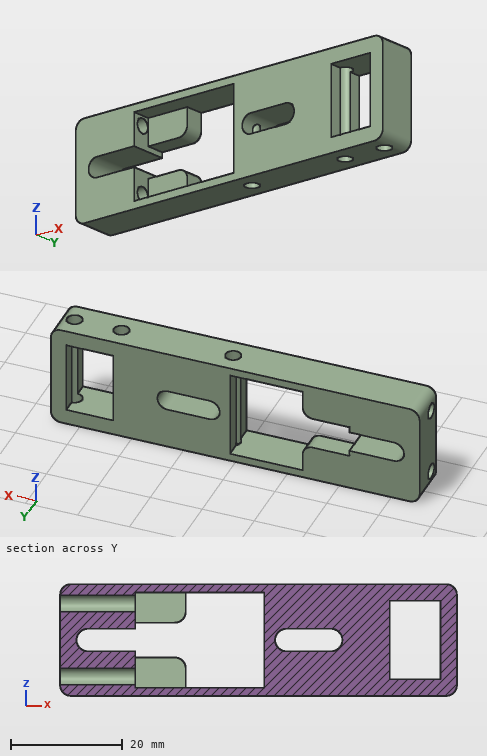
import cadquery as cq

length = 71.0
depth = 8.0
height = 20.0
corner_radius = 2.0
end_wall = 3.0

window_left = 13.5
window_width = 23.0
window_height = 17.0
window_right = window_left + window_width

tab_length = 9.0
tab_gap = 6.2
tab_radius = 2.0
tab_front = depth / 2
tab_height = (window_height - tab_gap) / 2

slot_width = 4.0
center_slot_left = 38.5
center_slot_length = 12.0

small_window_width = 9.0
small_window_height = 14.0
small_window_right = length - end_wall
small_window_left = small_window_right - small_window_width

hole_diameter = 2.9
window_hole_offset = 1.0
end_hole_y = 2.4
end_hole_z = 6.5


def box(left, right, front, back, box_height, center_z=0):
    """Box between X and Y limits, centred at the given height."""
    return cq.Workplane("XY").box(
        right - left, back - front, box_height, centered=(False, False, True)
    ).translate((left, front, center_z))


def slot(left, slot_length):
    """Round-ended slot through the full depth."""
    return (
        cq.Workplane("XZ", origin=(left + slot_length / 2, depth, 0))
        .slot2D(slot_length, slot_width)
        .extrude(depth)
    )


def tab(side):
    """Tab against the upper (+1) or lower (-1) wall, rounded at its free corner."""
    center_z = side * (tab_gap + tab_height) / 2
    free_corner = ">X and <Z" if side > 0 else ">X and >Z"
    block = box(window_left, window_left + tab_length, tab_front, depth, tab_height, center_z)
    return block.edges("|Y").edges(free_corner).fillet(tab_radius)


def vertical_hole(x):
    """Hole through the full height, at mid depth."""
    return (
        cq.Workplane("XY", origin=(x, depth / 2, -height / 2))
        .circle(hole_diameter / 2)
        .extrude(height)
    )


def end_hole(z):
    """Hole from the left end into the large window."""
    return (
        cq.Workplane("YZ", origin=(0, end_hole_y, z))
        .circle(hole_diameter / 2)
        .extrude(window_left)
    )


result = box(0, length, 0, depth, height).edges("|Y").fillet(corner_radius)

large_window = box(window_left, window_right, 0, depth, window_height)
for side in (-1, 1):
    large_window = large_window.cut(tab(side))
result = result.cut(large_window)
result = result.cut(box(small_window_left, small_window_right, 0, depth, small_window_height))

result = result.cut(slot(end_wall, window_left - end_wall + slot_width))
result = result.cut(slot(center_slot_left, center_slot_length))

for hole_x in (window_right + window_hole_offset, small_window_left, small_window_right):
    result = result.cut(vertical_hole(hole_x))

for hole_z in (-end_hole_z, end_hole_z):
    result = result.cut(end_hole(hole_z))